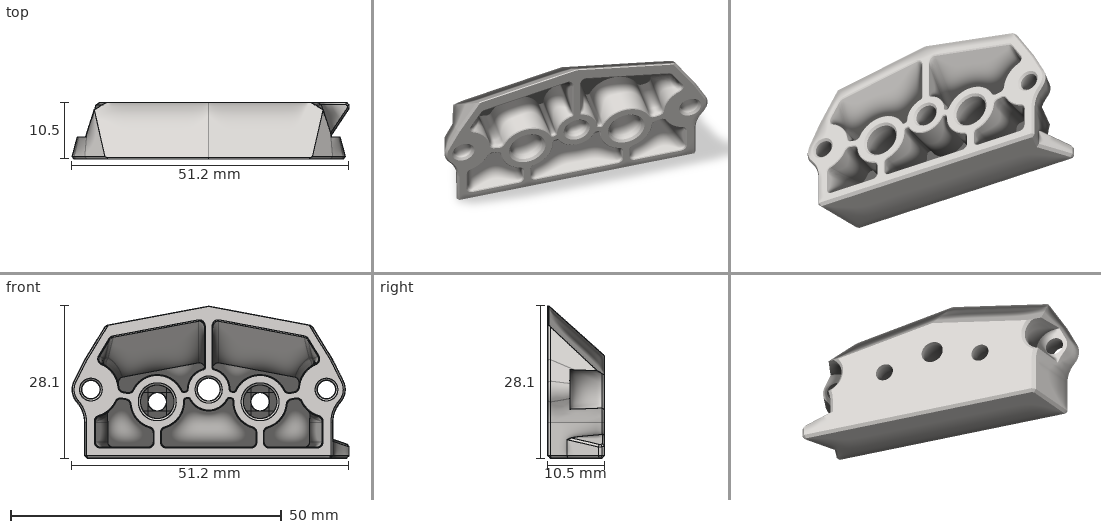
import cadquery as cq
import math

depth = 10.5
apex_height = 28.1
edge_chamfer = 0.5
side_draft = math.tan(math.radians(15))
shoulder_draft = math.tan(math.radians(16.5))

lip_depth = 0.25
roof_side_slope = 0.188
back_height = 18.95
roof_back_slope = (apex_height - back_height) / (depth - lip_depth)

side_half_width = 22.95
side_top_height = 6.6
kink_x = 22.9
kink_z = 18.25
shoulder_angle = 58.5
tab_radius = 3.5

hole_height = 12.7
outer_hole_x = 21.75
outer_hole_diameter = 3.4
center_hole_diameter = 4.2
hole_chamfer = 0.4
tab_thickness = 4.1
clearance_diameter = 7.05
clearance_flare = 7
bolt_x = 9.5
bolt_z = 10.45
bolt_hole_diameter = 3.4
counterbore_diameter = 6.2
counterbore_depth = 7.4
floor_step = 0.2

pocket_depth = 8.7
wall = 2.1
floor_wall = 2.05
roof_wall = 2.55
rib_width = 1.5
link_width = 1.35
outer_ring_radius = 5.15
bolt_ring_radius = 5.0
center_ring_radius = 3.95
pocket_fillet = 0.95
tight_fillet = 0.4
ring_gap = (2.55, 6.15)
rim_chamfer = 0.15

foot_tip_x = 25.95
foot_tip_width = 0.6
foot_front_y = 3.6
foot_tip_height = 2.45
foot_slope = 0.35
foot_chamfer = 0.35

margin = 5.1


def front_plane(y):
    return cq.Workplane("XZ", origin=(0, y, 0))


def disc(x, z, radius, start, length):
    return front_plane(start).center(x, z).circle(radius).extrude(-length)


def both_sides(solid):
    return solid.union(solid.mirror("YZ"))


def half_outline_points(y, edge_inset):
    """Points up the +X side: upright side, valley arc, tab arc, flank, shoulder.

    Every line is moved inwards by edge_inset and by the draft it has gathered at depth y.
    """
    draft_run = y - edge_chamfer
    inset = edge_inset + draft_run * side_draft
    shoulder_inset = edge_inset + draft_run * shoulder_draft
    side_x = side_half_width - inset
    tab_r = tab_radius - inset

    run = side_half_width - outer_hole_x
    rise = hole_height - side_top_height
    valley_r = (run**2 + rise**2 - tab_radius**2) / (2 * (tab_radius - run)) + inset
    valley_x = side_x + valley_r
    valley_turn = math.atan2(rise, valley_x - outer_hole_x)
    valley_mid = (
        valley_x - valley_r * math.cos(valley_turn / 2),
        side_top_height + valley_r * math.sin(valley_turn / 2),
    )
    tab_start = (
        outer_hole_x + tab_r * math.cos(valley_turn),
        hole_height - tab_r * math.sin(valley_turn),
    )

    kink_dx = kink_x - outer_hole_x
    kink_dz = kink_z - hole_height
    flank_normal = math.atan2(kink_dz, kink_dx) - math.acos(tab_radius / math.hypot(kink_dx, kink_dz))
    tab_end = (
        outer_hole_x + tab_r * math.cos(flank_normal),
        hole_height + tab_r * math.sin(flank_normal),
    )
    tab_mid_angle = (flank_normal - valley_turn) / 2
    tab_mid = (
        outer_hole_x + tab_r * math.cos(tab_mid_angle),
        hole_height + tab_r * math.sin(tab_mid_angle),
    )

    shoulder_slope = math.radians(shoulder_angle)
    shoulder_normal = math.pi / 2 - shoulder_slope
    spread = math.sin(flank_normal - shoulder_normal)
    kink = (
        kink_x - (shoulder_inset * math.sin(flank_normal) - inset * math.sin(shoulder_normal)) / spread,
        kink_z - (inset * math.cos(shoulder_normal) - shoulder_inset * math.cos(flank_normal)) / spread,
    )
    top_z = apex_height + margin
    top = (kink[0] - (top_z - kink[1]) / math.tan(shoulder_slope), top_z)
    return (side_x, side_top_height), valley_mid, tab_start, tab_mid, tab_end, kink, top


def outline(y, edge_inset):
    """Closed outline at depth y; it overshoots the base and the roof, which are trimmed later."""
    side, valley_mid, tab_start, tab_mid, tab_end, kink, top = half_outline_points(y, edge_inset)

    def flip(point):
        return (-point[0], point[1])

    return (
        front_plane(y)
        .moveTo(side[0], -margin)
        .lineTo(*side)
        .threePointArc(valley_mid, tab_start)
        .threePointArc(tab_mid, tab_end)
        .lineTo(*kink)
        .lineTo(*top)
        .lineTo(*flip(top))
        .lineTo(*flip(kink))
        .lineTo(*flip(tab_end))
        .threePointArc(flip(tab_mid), flip(tab_start))
        .threePointArc(flip(valley_mid), flip(side))
        .lineTo(-side[0], -margin)
        .close()
    )


def layer(y_start, inset_start, y_end, inset_end):
    """Solid between two insets of the outline."""
    start = outline(y_start, inset_start).val()
    end = outline(y_end, inset_end).val()
    return cq.Workplane(cq.Solid.makeLoft([start, end], True))


def under_roof(drop, base):
    """Space above base and under both sloping roof facets lowered by drop."""
    half = side_half_width + margin

    def section(x):
        front_z = apex_height - drop - abs(x) * roof_side_slope + (margin + lip_depth) * roof_back_slope
        back_z = front_z - (margin + depth) * roof_back_slope
        corners = [(-margin, base), (depth, base), (depth, back_z), (-margin, front_z)]
        return cq.Wire.makePolygon([cq.Vector(x, y, z) for y, z in corners], close=True)

    def facet(x_outer):
        return cq.Workplane(cq.Solid.makeLoft([section(0), section(x_outer)], True))

    return facet(half).union(facet(-half))


def gable():
    """Upright prism that cuts the lip along the top of the front face."""
    half = side_half_width + margin
    eaves = apex_height - half * roof_side_slope
    points = [(-half, 0), (half, 0), (half, eaves), (0, apex_height), (-half, eaves)]
    return front_plane(0).polyline(points).close().extrude(-depth)


def make_body():
    back_y = depth - edge_chamfer
    return (
        layer(0, edge_chamfer, edge_chamfer, 0)
        .union(layer(edge_chamfer, 0, back_y, 0))
        .union(layer(back_y, 0, depth, edge_chamfer))
        .intersect(under_roof(0, 0))
        .intersect(gable())
    )


def make_foot():
    """Triangular foot with a sloping top, rooted inside the side wall."""
    back_y = depth - edge_chamfer
    root_x = side_half_width - (foot_front_y - edge_chamfer) * side_draft
    inner_x = side_half_width - 2 * wall
    inner_height = foot_tip_height + (foot_tip_x - inner_x) * foot_slope
    elevation = [(inner_x, 0), (foot_tip_x, 0), (foot_tip_x, foot_tip_height), (inner_x, inner_height)]
    plan = [
        (root_x, foot_front_y),
        (foot_tip_x, back_y - foot_tip_width),
        (foot_tip_x, back_y),
        (foot_tip_x - edge_chamfer, depth),
        (inner_x, depth),
    ]
    foot = front_plane(0).polyline(elevation).close().extrude(-depth)
    foot = foot.intersect(cq.Workplane("XY").polyline(plan).close().extrude(inner_height))
    return foot.faces(">Z").edges().chamfer(foot_chamfer)


def link(x_start, z_start, x_end, z_end):
    """Web between two hole rings."""
    length = math.hypot(x_end - x_start, z_end - z_start)
    angle = math.degrees(math.atan2(z_end - z_start, x_end - x_start))
    return (
        front_plane(0)
        .center((x_start + x_end) / 2, (z_start + z_end) / 2)
        .transformed(rotate=(0, 0, angle))
        .rect(length, link_width)
        .extrude(-depth)
    )


def make_webs():
    """Hole rings, ribs and links that stay standing between the pockets."""
    webs = disc(0, hole_height, center_ring_radius, 0, depth)
    webs = webs.union(
        front_plane(0)
        .center(0, hole_height)
        .rect(rib_width, apex_height - hole_height, centered=(True, False))
        .extrude(-depth)
    )
    half = disc(outer_hole_x, hole_height, outer_ring_radius, 0, depth)
    half = half.union(disc(bolt_x, bolt_z, bolt_ring_radius, 0, depth))
    half = half.union(
        front_plane(0).center(bolt_x, bolt_z / 2).rect(rib_width, bolt_z).extrude(-depth)
    )
    half = half.union(link(0, hole_height, bolt_x, bolt_z))
    half = half.union(link(bolt_x, bolt_z, outer_hole_x, hole_height))
    return webs.union(both_sides(half))


def edges_near(pocket, x_range, z_range):
    """Pocket edges centred in the given window, clear of the pocket mouth and floor."""
    low = (x_range[0], edge_chamfer, z_range[0])
    high = (x_range[1], pocket_depth - edge_chamfer, z_range[1])
    return pocket.edges(cq.selectors.BoxSelector(low, high))


def round_upper_pocket(pocket):
    """Round the +X pocket that lies between the roof and the rings."""
    at_rib = (0, rib_width)
    outboard = (bolt_x, side_half_width)
    below_holes = (0, hole_height)
    pocket = edges_near(pocket, at_rib, (hole_height, kink_z)).fillet(tight_fillet)
    pocket = edges_near(pocket, at_rib, (kink_z, apex_height)).fillet(pocket_fillet)
    pocket = edges_near(pocket, ring_gap, below_holes).fillet(tight_fillet)
    pocket = edges_near(pocket, outboard, below_holes).fillet(pocket_fillet)
    return edges_near(pocket, outboard, (hole_height, apex_height)).fillet(pocket_fillet)


def round_corner_pocket(pocket):
    """Round the +X pocket below the outer hole ring."""
    return edges_near(pocket, (0, side_half_width), (0, hole_height)).fillet(pocket_fillet)


def round_middle_pocket(pocket):
    """Round the pocket below the center ring."""
    across = (-bolt_x, bolt_x)
    pocket = edges_near(pocket, across, (bolt_z - floor_wall, hole_height)).fillet(tight_fillet)
    return edges_near(pocket, across, (0, bolt_z - floor_wall)).fillet(pocket_fillet)


def make_pockets():
    blank = layer(0, wall, pocket_depth, wall)
    blank = blank.intersect(under_roof(roof_wall, floor_wall)).cut(make_webs())

    def pocket_at(x, z):
        return blank.solids(cq.selectors.NearestToPointSelector((x, 0, z)))

    upper = round_upper_pocket(pocket_at(bolt_x, kink_z))
    corner = round_corner_pocket(pocket_at(side_half_width - bolt_x / 2, floor_wall))
    middle = round_middle_pocket(pocket_at(0, floor_wall))
    return both_sides(upper).union(both_sides(corner)).union(middle)


def keyhole(y, radius):
    """Clearance section around the +X outer hole, flaring open towards the side."""
    flare = math.radians(clearance_flare)
    tangent_x = outer_hole_x - radius * math.sin(flare)
    tangent_z = radius * math.cos(flare)
    open_x = outer_hole_x + margin
    open_z = tangent_z + (open_x - tangent_x) * math.tan(flare)
    return (
        front_plane(y)
        .moveTo(open_x, hole_height - open_z)
        .lineTo(tangent_x, hole_height - tangent_z)
        .threePointArc((outer_hole_x - radius, hole_height), (tangent_x, hole_height + tangent_z))
        .lineTo(open_x, hole_height + open_z)
        .close()
    )


def make_clearances():
    """Open pockets behind both tabs, chamfered where they leave the back face."""
    radius = clearance_diameter / 2
    chamfer_start = depth - edge_chamfer
    pocket = keyhole(tab_thickness, radius).extrude(tab_thickness - depth)
    small = keyhole(chamfer_start, radius).val()
    large = keyhole(depth, radius + edge_chamfer).val()
    return both_sides(pocket.union(cq.Workplane(cq.Solid.makeLoft([small, large], True))))


def chamfered_bore(x, z, diameter, length):
    """Bore from the front face with a chamfered mouth."""
    radius = diameter / 2
    mouth = cq.Solid.makeCone(
        radius + hole_chamfer, radius, hole_chamfer, cq.Vector(x, 0, z), cq.Vector(0, 1, 0)
    )
    return disc(x, z, radius, 0, length).union(cq.Workplane(mouth))


def make_bolt_hole():
    """Counterbored hole whose floor steps down through a cross and a square to the round hole."""
    bore = chamfered_bore(bolt_x, bolt_z, counterbore_diameter, counterbore_depth)
    floor = front_plane(counterbore_depth).center(bolt_x, bolt_z)
    cross = (
        floor.rect(bolt_hole_diameter, counterbore_diameter)
        .extrude(-floor_step)
        .union(floor.rect(counterbore_diameter, bolt_hole_diameter).extrude(-floor_step))
        .intersect(disc(bolt_x, bolt_z, counterbore_diameter / 2, 0, depth))
    )
    square = floor.rect(bolt_hole_diameter, bolt_hole_diameter).extrude(-2 * floor_step)
    through = disc(bolt_x, bolt_z, bolt_hole_diameter / 2, 0, depth)
    return bore.union(cross).union(square).union(through)


def make_holes():
    center = chamfered_bore(0, hole_height, center_hole_diameter, depth)
    outer = chamfered_bore(outer_hole_x, hole_height, outer_hole_diameter, depth)
    return center.union(both_sides(outer.union(make_bolt_hole())))


def chamfer_rims(body):
    """Chamfer the mouths of the pockets, the only openings in the front face so far."""
    front_face = body.faces("<Y").val()
    rims = [edge for wire in front_face.innerWires() for edge in wire.Edges()]
    return body.newObject(rims).chamfer(rim_chamfer)


body = make_body().cut(make_clearances()).union(make_foot())
body = body.faces("<Z").chamfer(edge_chamfer).cut(make_pockets())
result = chamfer_rims(body).cut(make_holes())